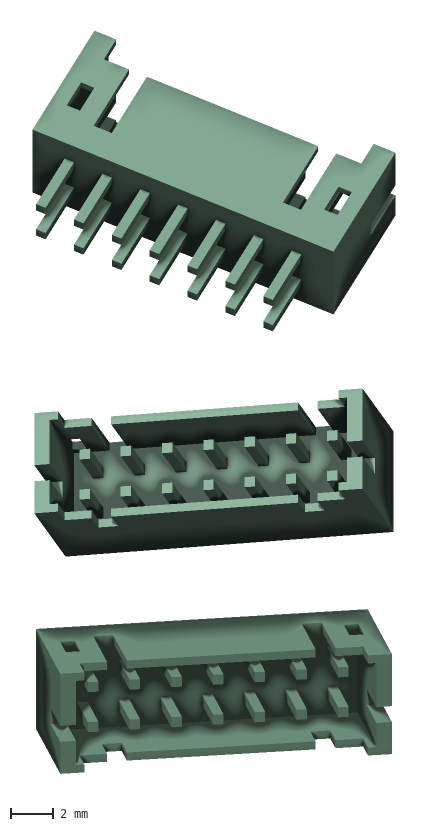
import cadquery as cq

housing_width = 15.9
housing_height = 5.0
housing_depth = 6.5

side_wall = 0.75
long_wall = 0.4
back_wall = 1.5
cavity_width = housing_width - 2 * side_wall

tab_width = 1.15
step_depth = 1.3

slot_width = 0.95
slot_outer_inset = 2.475
slot_center_x = housing_width / 2 - slot_outer_inset - slot_width / 2
bottom_slot_end = 3.8

window_width = 0.7
window_length = 1.5
window_start = 2.0
window_inset = 0.8
window_center_x = housing_width / 2 - window_inset - window_width / 2

slit_bottom = 1.6
slit_height = 0.8
slit_end = 3.9

pin_size = 0.5
pin_pitch = 2.0
pins_per_row = 7
pin_tail = 3.0
pin_tip = 4.4


def box(center_x, width, y_start, y_end, z_bottom, z_top):
    """Make a box centred on center_x that spans the given Y and Z ranges."""
    solid = cq.Workplane("XY").box(width, y_end - y_start, z_top - z_bottom, centered=(True, False, False))
    return solid.translate((center_x, y_start, z_bottom))


def make_housing():
    """Make a box with a cavity open at the mouth and long walls set back between the tabs."""
    shell = box(0, housing_width, 0, housing_depth, 0, housing_height)
    cavity = box(0, cavity_width, back_wall, housing_depth, long_wall, housing_height - long_wall)
    step_width = housing_width - 2 * tab_width
    step = box(0, step_width, housing_depth - step_depth, housing_depth, 0, housing_height)
    return shell.cut(cavity).cut(step)


def cut_wall_openings(housing):
    """Cut the slots and latch windows near both ends of the part."""
    middle = housing_height / 2
    window_end = window_start + window_length
    for side in (-1, 1):
        slot_x = side * slot_center_x
        window_x = side * window_center_x
        housing = housing.cut(box(slot_x, slot_width, back_wall, housing_depth, middle, housing_height))
        housing = housing.cut(box(slot_x, slot_width, bottom_slot_end, housing_depth, 0, middle))
        housing = housing.cut(box(window_x, window_width, window_start, window_end, middle, housing_height))
    return housing


def cut_slit(housing):
    """Cut the slit through both end walls."""
    slit = box(0, housing_width, slit_end, housing_depth, slit_bottom, slit_bottom + slit_height)
    return housing.cut(slit)


def add_pins(housing):
    """Add two rows of square pins that run through the back wall."""
    for row in (-1, 1):
        pin_bottom = housing_height / 2 + row * pin_pitch / 2 - pin_size / 2
        for index in range(pins_per_row):
            pin_x = (index - (pins_per_row - 1) / 2) * pin_pitch
            pin = box(pin_x, pin_size, -pin_tail, pin_tip, pin_bottom, pin_bottom + pin_size)
            housing = housing.union(pin)
    return housing


result = add_pins(cut_slit(cut_wall_openings(make_housing())))